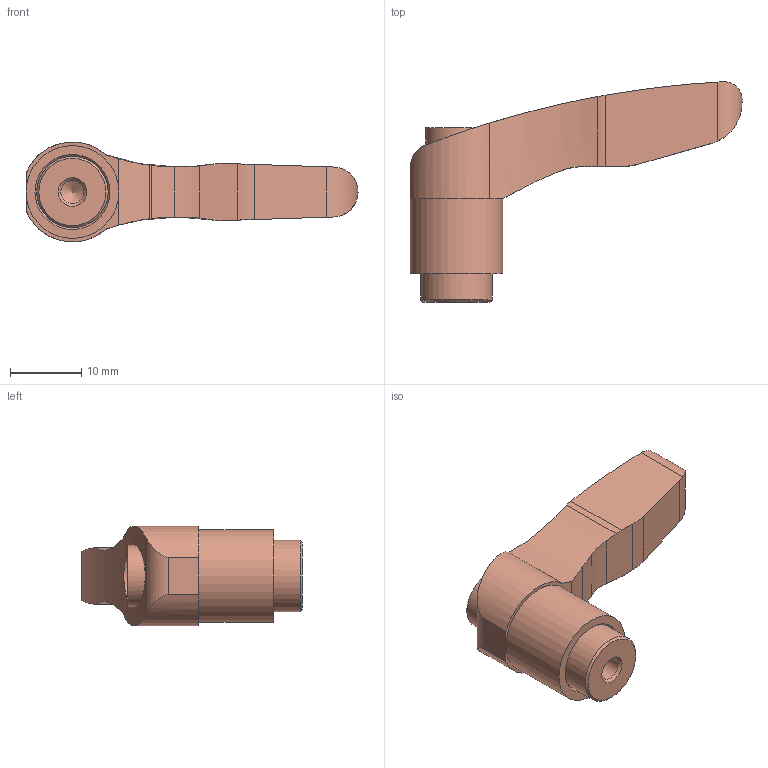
import cadquery as cq
import math


sleeve_diameter = 13.0
sleeve_length = 10.5
hub_diameter = 14.0
hub_flat_x = -sleeve_diameter / 2

pin_diameter = 10.0
pin_projection = 4.0
pin_chamfer = 0.3
sleeve_mouth_diameter = 10.5
thread_diameter = 3.24
thread_mouth_diameter = 4.0
thread_depth = 10.0
drill_point_angle = 118.0

screw_head_diameter = 8.6
screw_head_top_y = 20.45

tip_x = 40.0
top_arc_radius = 136.0
top_arc_center_x = 44.5
lever_top_y = 26.87
neck_bend_start = (10.78, 12.72)
neck_bend_end = (11.06, 12.86)
grip_underside_y = 15.0
grip_underside_start_x = 16.0
grip_underside_end_x = 24.35
grip_underside_angle = 15.8
hub_corner_radius = 3.5
underside_radius = 9.0
tip_lower_radius = 6.0
tip_upper_radius = 2.5

waist_x = 14.7
waist_half_width = 3.5
waist_radius = 30.0
bulge_x = 20.3
bulge_radius = 5.0
tip_radius = 3.5

top_arc_center_y = lever_top_y - math.sqrt(
    top_arc_radius**2 - (tip_x - tip_upper_radius - top_arc_center_x) ** 2
)


def cylinder_along_y(diameter, y_start, y_end):
    """Cylinder about the Y axis between two heights."""
    return (
        cq.Workplane("XZ", origin=(0, y_start, 0))
        .circle(diameter / 2)
        .extrude(y_start - y_end)
    )


def cone_along_y(diameter_start, diameter_end, y_start, y_end):
    """Frustum or cone about the Y axis."""
    cone = cq.Solid.makeCone(
        diameter_start / 2,
        diameter_end / 2,
        y_end - y_start,
        pnt=cq.Vector(0, y_start, 0),
        dir=cq.Vector(0, 1, 0),
    )
    return cq.Workplane(cone)


def top_arc_point(x):
    """Point of the lever's convex upper edge at a given x."""
    return (x, top_arc_center_y + math.sqrt(top_arc_radius**2 - (x - top_arc_center_x) ** 2))


def waist_half_width_at(x):
    """Half width of the lever on its concave side arc."""
    return waist_half_width + waist_radius - math.sqrt(waist_radius**2 - (x - waist_x) ** 2)


def round_corner(body, corner, radius, axis):
    """Fillet the edge that runs along the given axis nearest to a profile corner."""
    return body.edges("|" + axis).edges(cq.selectors.NearestToPointSelector(corner)).fillet(radius)


def make_side_profile():
    """Side shape of hub and lever, thicker than the hub is wide."""
    neck_start = (sleeve_diameter / 2, sleeve_length)
    underside_start = (grip_underside_start_x, grip_underside_y)
    underside_end = (grip_underside_end_x, grip_underside_y)
    tip_rise = (tip_x - grip_underside_end_x) * math.tan(math.radians(grip_underside_angle))
    tip_lower = (tip_x, grip_underside_y + tip_rise)
    tip_upper = top_arc_point(tip_x)
    hub_upper = top_arc_point(hub_flat_x)
    body = (
        cq.Workplane("XY")
        .moveTo(hub_flat_x, sleeve_length)
        .lineTo(*neck_start)
        .lineTo(*neck_bend_start)
        .tangentArcPoint(neck_bend_end, relative=False)
        .lineTo(*underside_start)
        .lineTo(*underside_end)
        .lineTo(*tip_lower)
        .lineTo(*tip_upper)
        .threePointArc(top_arc_point((tip_x + hub_flat_x) / 2), hub_upper)
        .close()
        .extrude(hub_diameter, both=True)
    )
    corners = [
        (underside_start, underside_radius),
        (underside_end, underside_radius),
        (tip_lower, tip_lower_radius),
        (tip_upper, tip_upper_radius),
        (hub_upper, hub_corner_radius),
    ]
    for (x, y), radius in corners:
        body = round_corner(body, (x, y, 0), radius, "Z")
    return body


def hub_waist_junction():
    """Point where the waist arc meets the hub circle."""
    hub_radius = hub_diameter / 2
    center_z = waist_half_width + waist_radius
    distance = math.hypot(waist_x, center_z)
    along = (distance**2 + hub_radius**2 - waist_radius**2) / (2 * distance)
    across = math.sqrt(hub_radius**2 - along**2)
    unit_x = waist_x / distance
    unit_z = center_z / distance
    return (along * unit_x + across * unit_z, along * unit_z - across * unit_x)


def make_plan_outline():
    """Round hub and waisted lever with a round tip, as one prism along Y."""
    junction_x, junction_z = hub_waist_junction()
    bulge_z = waist_half_width_at(bulge_x)
    tip_center_x = tip_x - tip_radius

    reach = math.hypot(tip_center_x - bulge_x, bulge_z)
    side_angle = math.atan2(bulge_z, tip_center_x - bulge_x) - math.asin(tip_radius / reach)
    tangent_x = tip_center_x + tip_radius * math.sin(side_angle)
    tangent_z = tip_radius * math.cos(side_angle)

    body = (
        cq.Workplane("XZ")
        .moveTo(junction_x, junction_z)
        .threePointArc((waist_x, waist_half_width), (bulge_x, bulge_z))
        .lineTo(tangent_x, tangent_z)
        .threePointArc((tip_x, 0), (tangent_x, -tangent_z))
        .lineTo(bulge_x, -bulge_z)
        .threePointArc((waist_x, -waist_half_width), (junction_x, -junction_z))
        .threePointArc((-hub_diameter / 2, 0), (junction_x, junction_z))
        .close()
        .extrude(-(lever_top_y + pin_projection))
    )
    for z in (bulge_z, -bulge_z):
        body = round_corner(body, (bulge_x, lever_top_y / 2, z), bulge_radius, "Y")
    return body


def make_screw_head(lever):
    """Seat the screw head in the hub: open a bore above its top, fill the hub below."""
    head = cylinder_along_y(screw_head_diameter, sleeve_length, screw_head_top_y)
    bore = cylinder_along_y(screw_head_diameter, screw_head_top_y, lever_top_y)
    return lever.cut(bore).union(head)


def make_sleeve():
    """Sleeve with a chamfered mouth around the pin."""
    mouth_chamfer = (sleeve_mouth_diameter - pin_diameter) / 2
    sleeve = cylinder_along_y(sleeve_diameter, 0, sleeve_length)
    return sleeve.cut(cone_along_y(sleeve_mouth_diameter, pin_diameter, 0, mouth_chamfer))


def make_pin():
    """Chamfered end of the insert, reaching up into the sleeve."""
    pin = cylinder_along_y(pin_diameter, -pin_projection, sleeve_length)
    return pin.faces("<Y").chamfer(pin_chamfer)


def make_thread_hole():
    """Blind hole with a countersunk mouth and a conical bottom."""
    mouth_depth = (thread_mouth_diameter - thread_diameter) / 2
    hole_bottom_y = thread_depth - pin_projection
    point_length = thread_diameter / 2 / math.tan(math.radians(drill_point_angle / 2))
    hole = cylinder_along_y(thread_diameter, -pin_projection, hole_bottom_y)
    mouth = cone_along_y(
        thread_mouth_diameter, thread_diameter, -pin_projection, mouth_depth - pin_projection
    )
    point = cone_along_y(thread_diameter, 0, hole_bottom_y, hole_bottom_y + point_length)
    return hole.union(mouth).union(point)


lever = make_side_profile().intersect(make_plan_outline())
lever = make_screw_head(lever)
result = lever.union(make_sleeve()).union(make_pin()).cut(make_thread_hole())